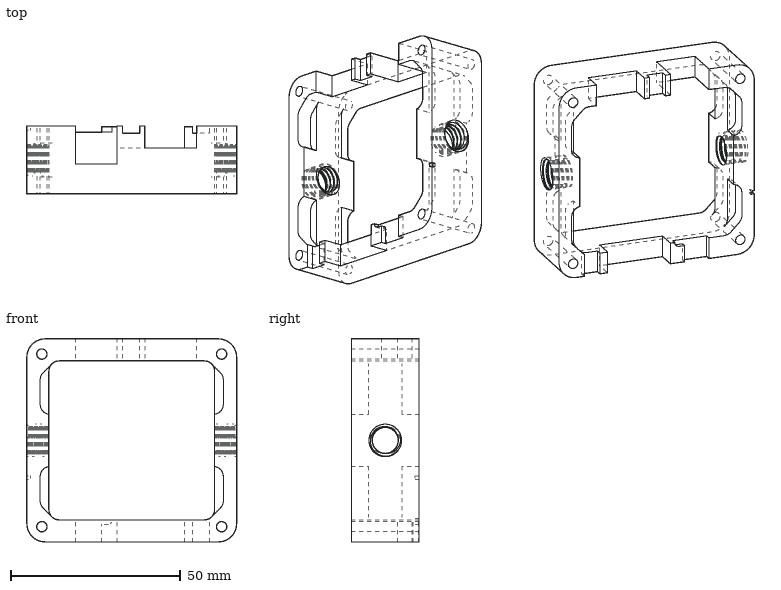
import cadquery as cq
import math

width = 62.0
depth = 20.0
height = 60.0
outer_radius = 5.45
front_y = -depth / 2
rear_y = depth / 2

opening_half_x = 24.4
opening_half_z = 23.45
inner_radius = 3.0

pocket_half_x = 27.05
pocket_end_z = 7.7
pocket_depth = 5.0
corner_chamfer = pocket_half_x - opening_half_x + (2 - math.sqrt(2)) * inner_radius

screw_diameter = 3.0
screw_x = 26.55
screw_z = 25.5

port_minor_diameter = 7.6
port_major_diameter = 9.6
thread_pitch = 1.55
groove_mouth = 0.85 * thread_pitch
groove_bottom = 0.2 * thread_pitch
groove_overlap = 0.1
port_margin = 6.2

deep_notch_start_x = -16.55
tab_start_x = -4.4
tab_end_x = 3.9
shallow_notch_end_x = 19.15
deep_notch_depth = 11.15
shallow_notch_depth = 6.45
slot_width = 5.0
slot_depth = 2.1
tab_slot_start_x = -2.7

bottom_notch_end_x = 15.55
bottom_edge_drop = 0.2
bottom_slot_start_x = 18.0
channel_depth = 1.8
channel_step_start_x = -8.9
channel_step_end_x = -5.8
channel_step_radius = 1.4

mark_length_y = 1.25
mark_height = 1.05
mark_depth = 1.05
mark_z = -11.05

wall_x = width / 2 - opening_half_x


def block(x_start, x_end, y_start, y_end, z_start, z_end):
    """Box given by its limits along the three axes."""
    return cq.Workplane("XY").box(
        x_end - x_start, y_end - y_start, z_end - z_start, centered=False
    ).translate((x_start, y_start, z_start))


def rounded_bar(half_x, half_z, radius, y_start, y_end):
    """Centred bar along Y with rounded long edges."""
    bar = block(-half_x, half_x, y_start, y_end, -half_z, half_z)
    return bar.edges("|Y").fillet(radius)


def pocket_cutter(y_start, y_end):
    """Chamfered pocket profile, less the full-width band left standing between the pockets."""
    cutter = block(-pocket_half_x, pocket_half_x, y_start, y_end, -opening_half_z, opening_half_z)
    cutter = cutter.edges("|Y").chamfer(corner_chamfer).edges("|Y").fillet(inner_radius)
    for side in (-1, 1):
        x_limits = sorted((side * opening_half_x, side * width))
        band = block(*x_limits, y_start, y_end, -pocket_end_z, pocket_end_z)
        for end in (-1, 1):
            round_x = side * (pocket_half_x - inner_radius)
            round_z = end * (pocket_end_z + inner_radius)
            corner = block(
                *sorted((round_x, side * pocket_half_x)), y_start, y_end,
                *sorted((end * pocket_end_z, round_z))
            )
            rod = cq.Workplane("XZ", origin=(round_x, y_start, round_z)).circle(inner_radius)
            band = band.union(corner.cut(rod.extrude(-(y_end - y_start))))
        cutter = cutter.cut(band)
    return cutter


def rear_cut(x_start, x_end, cut_depth, side):
    """Cutter through the top (side=1) or bottom (side=-1) wall, open to the rear face."""
    z_limits = sorted((side * (opening_half_z - inner_radius), side * height))
    return block(x_start, x_end, rear_y - cut_depth, rear_y + 0.6, *z_limits)


def port_cutter():
    """Threaded bore along +X with a 45 degree countersink at the outer face of the wall."""
    minor_radius = port_minor_diameter / 2
    major_radius = port_major_diameter / 2
    outer_x = width / 2
    countersink_depth = major_radius - minor_radius
    bore = (
        cq.Workplane("XY")
        .moveTo(opening_half_x - port_margin, 0)
        .lineTo(opening_half_x - port_margin, minor_radius)
        .lineTo(outer_x - countersink_depth, minor_radius)
        .lineTo(outer_x, major_radius)
        .lineTo(outer_x + port_margin, major_radius)
        .lineTo(outer_x + port_margin, 0)
        .close()
        .revolve(360, (0, 0, 0), (1, 0, 0))
    )

    helix = cq.Wire.makeHelix(thread_pitch, wall_x + 2 * thread_pitch, minor_radius)
    root_radius = minor_radius - groove_overlap
    thread = (
        cq.Workplane("XZ")
        .moveTo(root_radius, -groove_mouth / 2)
        .lineTo(major_radius, -groove_bottom / 2)
        .lineTo(major_radius, groove_bottom / 2)
        .lineTo(root_radius, groove_mouth / 2)
        .close()
        .sweep(cq.Workplane(obj=helix), isFrenet=True)
        .rotate((0, 0, 0), (0, 1, 0), 90)
        .translate((opening_half_x - thread_pitch, 0, 0))
    )
    return bore.union(thread, clean=False)


frame = rounded_bar(width / 2, height / 2, outer_radius, front_y, rear_y)
frame = frame.cut(rounded_bar(opening_half_x, opening_half_z, inner_radius, front_y, rear_y))
frame = frame.cut(pocket_cutter(front_y, front_y + pocket_depth))
frame = frame.cut(pocket_cutter(rear_y - pocket_depth, rear_y))

screw_points = [(x, z) for x in (-screw_x, screw_x) for z in (-screw_z, screw_z)]
frame = frame.cut(
    cq.Workplane("XZ", origin=(0, front_y, 0))
    .pushPoints(screw_points).circle(screw_diameter / 2).extrude(-depth)
)

frame = frame.cut(rear_cut(deep_notch_start_x, tab_start_x, deep_notch_depth, 1))
frame = frame.cut(rear_cut(tab_end_x, shallow_notch_end_x, shallow_notch_depth, 1))
frame = frame.cut(rear_cut(tab_slot_start_x, tab_slot_start_x + slot_width, slot_depth, 1))

frame = frame.cut(rear_cut(tab_start_x, bottom_notch_end_x, shallow_notch_depth, -1))
frame = frame.cut(rear_cut(bottom_slot_start_x, bottom_slot_start_x + slot_width, slot_depth, -1))
frame = frame.cut(rear_cut(channel_step_start_x, bottom_slot_start_x, bottom_edge_drop, -1))
frame = frame.cut(rear_cut(deep_notch_start_x, channel_step_start_x, channel_depth, -1))
step = block(channel_step_start_x, channel_step_end_x, rear_y - channel_depth, rear_y,
    -opening_half_z - channel_step_radius, -opening_half_z + channel_step_radius)
frame = frame.cut(step.edges("|Y and >X and <Z").fillet(channel_step_radius * 0.999))

frame = frame.cut(block(-width / 2, -width / 2 + mark_depth, rear_y - mark_length_y, rear_y,
    mark_z - mark_height / 2, mark_z + mark_height / 2))

port = port_cutter()
for turn in (0, 180):
    frame = frame.cut(port.rotate((0, 0, 0), (0, 0, 1), turn), clean=False)

result = frame